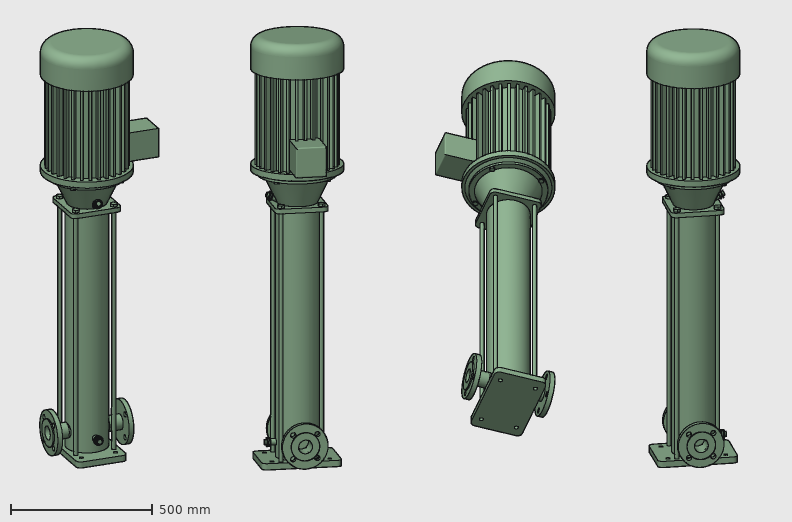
import cadquery as cq
import math


total_height = 1555.0

plate_width = 191.0
corner_radius = 19.0
rod_offset = 73.0
rod_diameter = 15.0
tube_diameter = 155.0

base_length = 288.0
base_thickness = 23.0
anchor_hole_x = 104.0
anchor_hole_y = 65.0
anchor_hole_diameter = 14.0

head_bottom = 931.0
head_top = 949.0
nut_corner_width = 26.0
nut_height = 10.0

port_height = 92.0
port_reach = 151.0
port_pipe_diameter = 58.0
port_bore_diameter = 50.0
port_flange_diameter = 165.0
port_flange_thickness = 19.0
raised_face_diameter = 103.0
raised_face_thickness = 5.0
port_bolt_hole_diameter = 19.0
port_bolt_offset = 44.0
port_bore_depth = port_reach - tube_diameter / 2

stool_bottom_diameter = 145.0
stool_top_diameter = 240.0
ring_diameter = 280.0
ring_bottom = 1048.0
ring_top = 1057.0
stool_bolt_offset = 92.0
stool_bolt_diameter = 19.0
stool_bolt_height = 6.0

motor_diameter = 330.0
flange_underside_diameter = 308.0
flange_bottom = 1065.0
flange_top = 1088.0
cover_bottom = 1434.0
cover_round = 39.0
core_diameter = 258.0
fin_tip_diameter = 300.0
fin_count = 30
fin_thickness = 10.0

box_width = 109.0
box_bottom = 1100.0
box_inner_y = 117.0
box_outer_y = 255.0
box_edge_round = 5.0

plug_shaft_diameter = 23.0
plug_collar_diameter = 33.0
plug_cap_diameter = 19.0
plug_collar_thickness = 3.0
plug_collar_gap = 6.0
plug_cap_length = 8.0
drain_tip = (118.0, 0, 78.0)
drain_shaft_length = 47.0
vent_tip = (110.0, 0, 981.0)
vent_tilt = 25.0
vent_shaft_length = 31.0


def cylinder(diameter, bottom, top):
    """Upright cylinder on the pump axis."""
    return cq.Workplane("XY").workplane(offset=bottom).circle(diameter / 2).extrude(top - bottom)


def frustum(bottom_diameter, top_diameter, bottom, top):
    """Upright truncated cone on the pump axis."""
    return cq.Workplane("XY").add(
        cq.Solid.makeCone(bottom_diameter / 2, top_diameter / 2, top - bottom, pnt=cq.Vector(0, 0, bottom))
    )


def square_points(offset):
    """Four points at the corners of a square centred on the axis."""
    return [(sx * offset, sy * offset) for sx in (-1, 1) for sy in (-1, 1)]


def rounded_plate(length, bottom, top):
    """Plate with rounded vertical corners."""
    plate = cq.Workplane("XY").workplane(offset=bottom).rect(length, plate_width).extrude(top - bottom)
    return plate.edges("|Z").fillet(corner_radius)


def base_plate():
    anchor_holes = [(sx * anchor_hole_x, sy * anchor_hole_y) for sx in (-1, 1) for sy in (-1, 1)]
    plate = rounded_plate(base_length, 0, base_thickness)
    return plate.faces(">Z").workplane(origin=(0, 0, 0)).pushPoints(anchor_holes).hole(anchor_hole_diameter)


def tie_rods():
    start = cq.Workplane("XY").workplane(offset=base_thickness)
    rods = start.pushPoints(square_points(rod_offset)).circle(rod_diameter / 2)
    return rods.extrude(head_bottom - base_thickness)


def rod_nuts():
    """Hexagon nuts on the head plate, with corners pointing along Y."""
    nuts = cq.Workplane("XY", origin=(0, 0, head_top)).transformed(rotate=(0, 0, 90))
    return nuts.pushPoints(square_points(rod_offset)).polygon(6, nut_corner_width).extrude(nut_height)


def port(side):
    """Flanged port on the -Y (side = -1) or +Y (side = 1) of the tube, with a blind bore."""
    face = cq.Plane(origin=(0, side * port_reach, port_height), xDir=(1, 0, 0), normal=(0, -side, 0))
    start = cq.Workplane(face)
    body = start.circle(port_pipe_diameter / 2).extrude(port_reach)
    body = body.union(start.circle(raised_face_diameter / 2).extrude(raised_face_thickness))
    flange = start.workplane(offset=raised_face_thickness).circle(port_flange_diameter / 2)
    flange = flange.extrude(port_flange_thickness)
    bolt_holes = start.pushPoints(square_points(port_bolt_offset)).circle(port_bolt_hole_diameter / 2)
    flange = flange.cut(bolt_holes.extrude(raised_face_thickness + port_flange_thickness))
    bore = start.circle(port_bore_diameter / 2).extrude(port_bore_depth)
    return body.union(flange), bore


def motor_stool():
    stool = frustum(stool_bottom_diameter, stool_top_diameter, head_top, ring_bottom)
    stool = stool.union(cylinder(ring_diameter, ring_bottom, ring_top))
    stool = stool.union(frustum(ring_diameter, flange_underside_diameter, ring_top, flange_bottom))
    bolts = cq.Workplane("XY").workplane(offset=ring_bottom).pushPoints(square_points(stool_bolt_offset))
    return stool.union(bolts.circle(stool_bolt_diameter / 2).extrude(-stool_bolt_height))


def motor_fins():
    """Radial cooling fins, with one fin centred on -Y."""
    fin_height = cover_bottom - flange_top
    fin_inner_radius = core_diameter / 4
    fin_outer_radius = fin_tip_diameter / 2
    fin_length = fin_outer_radius - fin_inner_radius
    fins = cq.Workplane("XY").workplane(offset=flange_top)
    fins = fins.transformed(rotate=(0, 0, -90))
    fins = fins.polarArray((fin_inner_radius + fin_outer_radius) / 2, 0, 360, fin_count)
    return fins.rect(fin_length, fin_thickness).extrude(fin_height)


def motor():
    flange = cylinder(motor_diameter, flange_bottom, flange_top)
    cover = cylinder(motor_diameter, cover_bottom, total_height).faces(">Z").edges().fillet(cover_round)
    core = cylinder(core_diameter, flange_top, cover_bottom)
    return flange.union(core).union(motor_fins()).union(cover)


def terminal_box():
    box = cq.Workplane("XY").box(
        box_width, box_outer_y - box_inner_y, box_width, centered=(True, False, False)
    )
    box = box.edges(">Y").fillet(box_edge_round)
    return box.translate((0, box_inner_y, box_bottom))


def plug(tip, tilt, shaft_length):
    """Plug built inward from its tip; it points along +X, raised by the tilt angle."""
    angle = math.radians(tilt)
    inward = (-math.cos(angle), 0, -math.sin(angle))
    sections = [
        (plug_cap_diameter, plug_cap_length),
        (plug_collar_diameter, plug_collar_thickness),
        (plug_shaft_diameter, plug_collar_gap),
        (plug_collar_diameter, plug_collar_thickness),
        (plug_shaft_diameter, shaft_length),
    ]
    start = cq.Workplane(cq.Plane(origin=tip, xDir=(0, 1, 0), normal=inward))
    body = cq.Workplane("XY")
    depth = 0
    for diameter, length in sections:
        body = body.union(start.workplane(offset=depth).circle(diameter / 2).extrude(length))
        depth += length
    return body


result = base_plate()
result = result.union(cylinder(tube_diameter, base_thickness, head_bottom))
result = result.union(tie_rods())
result = result.union(rounded_plate(plate_width, head_bottom, head_top))
result = result.union(rod_nuts())
for side in (-1, 1):
    port_body, port_bore = port(side)
    result = result.union(port_body).cut(port_bore)

result = result.union(motor_stool())
result = result.union(motor())
result = result.union(terminal_box())

result = result.union(plug(drain_tip, 0, drain_shaft_length))
result = result.union(plug(vent_tip, vent_tilt, vent_shaft_length))